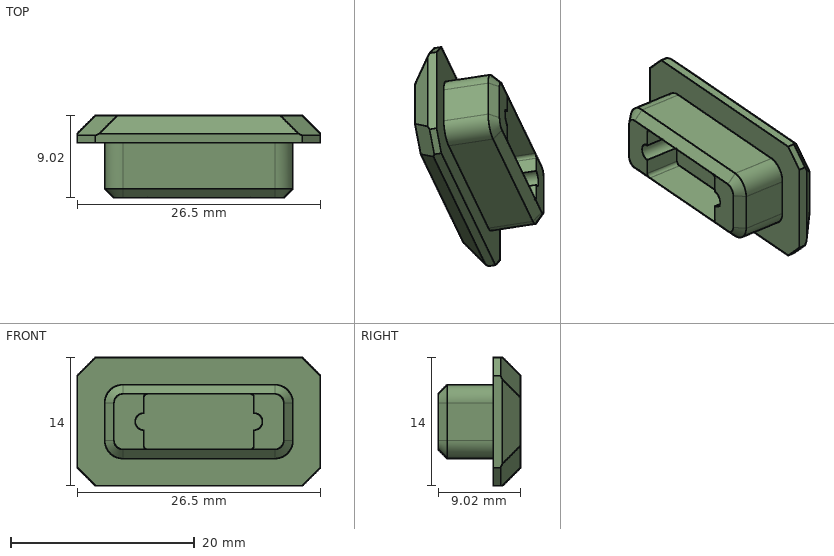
import cadquery as cq

flange_length = 26.5
flange_height = 14.0
flange_thickness = 3.0
flange_corner = 2.0
bevel = 2.0
bevel_corner = 2.4

plug_length = 20.5
plug_height = 8.05
plug_depth = 6.02
plug_radius = 2.0
plug_chamfer = 1.0

cavity_length = 12.0
cavity_height = plug_height - 2 * plug_chamfer
cavity_depth = 4.1
cavity_radius = 0.4
notch_radius = 0.93


def plane_at(y):
    """XZ plane at the given Y, with its normal pointing toward -Y."""
    return cq.Workplane("XZ", origin=(0, y, 0))


def octagon_points(length, height, corner):
    """Corners of a centred rectangle with equal cuts at its four corners."""
    x, z = length / 2, height / 2
    return [
        (x - corner, -z), (x, corner - z), (x, z - corner), (x - corner, z),
        (corner - x, z), (-x, z - corner), (-x, corner - z), (corner - x, -z),
    ]


def bevel_wire(y):
    """Section of the bevel envelope at y; it shrinks by 1 per unit of depth."""
    inset = y - (flange_thickness - bevel)
    points = octagon_points(flange_length - 2 * inset, flange_height - 2 * inset, bevel_corner)
    return cq.Wire.makePolygon([cq.Vector(x, y, z) for x, z in points], close=True)


def make_flange():
    outline = octagon_points(flange_length, flange_height, flange_corner)
    plate = plane_at(flange_thickness).polyline(outline).close().extrude(flange_thickness)
    envelope = cq.Solid.makeLoft([bevel_wire(0), bevel_wire(flange_thickness)], True)
    return plate.intersect(cq.Workplane(envelope))


def make_plug():
    block = plane_at(0).rect(plug_length, plug_height).extrude(plug_depth)
    return block.edges("|Y").fillet(plug_radius).faces("<Y").chamfer(plug_chamfer)


def make_cavity():
    floor = plane_at(cavity_depth - plug_depth)
    pocket = floor.rect(cavity_length, cavity_height).extrude(cavity_depth)
    pocket = pocket.edges("|Y").fillet(cavity_radius)
    notch_centres = [(-cavity_length / 2, 0), (cavity_length / 2, 0)]
    notches = floor.pushPoints(notch_centres).circle(notch_radius).extrude(cavity_depth)
    return pocket.union(notches)


result = make_flange().union(make_plug()).cut(make_cavity())